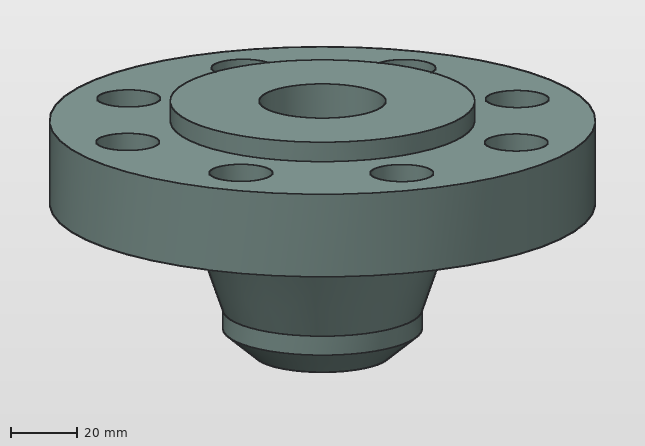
import cadquery as cq

flange_diameter = 165.1
flange_thickness = 26.0
face_diameter = 92.1
face_height = 6.1

total_height = 79.4
neck_diameter = 60.5
neck_length = 6.0
bevel_height = 8.1
end_diameter = 41.3
hub_root_diameter = 83.2
root_fillet = 7.5
bore_diameter = 38.3

bolt_count = 8
bolt_hole_diameter = 19.2
bolt_circle_diameter = 127.1

neck_bottom = bevel_height
neck_top = neck_bottom + neck_length
flange_top = total_height - face_height
flange_bottom = flange_top - flange_thickness


def make_body():
    """Revolve the flange, hub and neck about Z, then round the hub root."""
    profile = [
        (0, 0),
        (end_diameter / 2, 0),
        (neck_diameter / 2, neck_bottom),
        (neck_diameter / 2, neck_top),
        (hub_root_diameter / 2, flange_bottom),
        (flange_diameter / 2, flange_bottom),
        (flange_diameter / 2, flange_top),
        (face_diameter / 2, flange_top),
        (face_diameter / 2, total_height),
        (0, total_height),
    ]
    body = cq.Workplane("XZ").polyline(profile).close().revolve(360, (0, 0, 0), (0, 1, 0))
    root_edge = body.faces("%CONE").faces(">Z").edges(">Z")
    return root_edge.fillet(root_fillet)


def make_bore():
    return cq.Workplane("XY").circle(bore_diameter / 2).extrude(total_height)


def make_bolt_holes():
    return (
        cq.Workplane("XY")
        .workplane(offset=flange_bottom)
        .polarArray(bolt_circle_diameter / 2, 0, 360, bolt_count)
        .circle(bolt_hole_diameter / 2)
        .extrude(flange_thickness)
    )


result = make_body().cut(make_bore()).cut(make_bolt_holes())